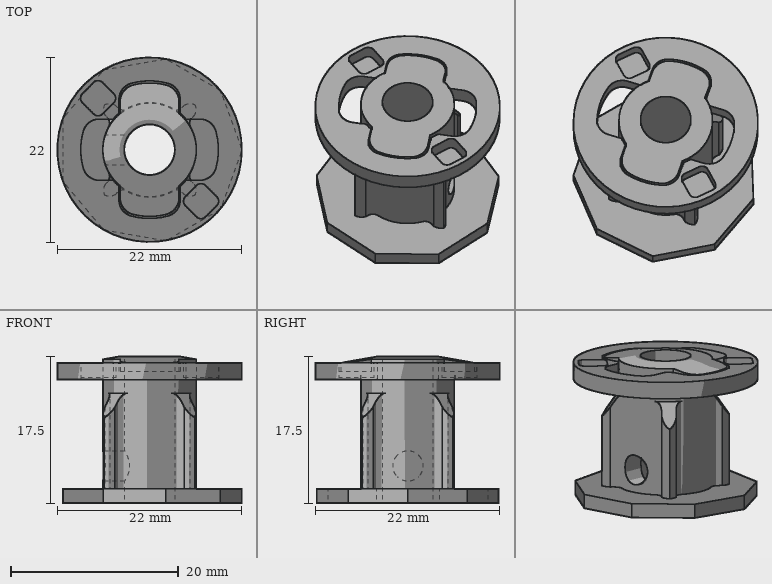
import cadquery as cq
import math

total_height = 17.48
bore_radius = 3.0

base_sides = 9
base_diameter = 22.0
base_thickness = 1.7
column_radius = 5.57
lug_count = 4
lug_first_angle = 45.0
lug_tip_radius = 7.61
lug_half_width = 0.85
lug_flank_end = 6.68
lug_nose_radius = 1.4
lug_root_fillet = 1.0
lug_top = 13.1
lug_top_slope = 55.0
side_hole_diameter = 3.6
side_hole_height = 4.45

crown_radius = 3.57
head_slope = 10.0
lobe_end_radius = 7.95
lobe_half_width = 3.5
lobe_corner_radius = 2.0

washer_diameter = 22.0
washer_thickness = 2.0
washer_bottom = 14.7
washer_top = washer_bottom + washer_thickness
column_clearance = 0.08
slot_end_radius = 8.2
slot_half_width = 3.65
slot_corner_radius = 2.0
lobe_recess_depth = 1.0
lobe_recess_floor = washer_top - lobe_recess_depth
pocket_side = 3.4
pocket_corner_radius = 0.75
pocket_depth = 1.7
pocket_centre_radius = 8.67
pocket_angles = (135.0, 315.0)


def rounded_bar(half_width, end_radius, corner_radius, height):
    """Bar along X with ends concentric to the main axis and rounded corners."""
    disc = cq.Workplane("XY").circle(end_radius).extrude(height)
    strip = cq.Workplane("XY").rect(2 * end_radius, 2 * half_width).extrude(height)
    return disc.intersect(strip).edges("|Z").fillet(corner_radius)


def lug():
    """One radial rib with a two-arc nose, root fillets and a conical top."""
    offset = lug_half_width + lug_root_fillet
    root_end = math.sqrt((column_radius + lug_root_fillet) ** 2 - offset ** 2)
    root_angle = math.atan2(offset, root_end)
    root_x = column_radius * math.cos(root_angle)
    root_y = column_radius * math.sin(root_angle)
    mid_angle = (math.pi + root_angle + 1.5 * math.pi) / 2
    mid_x = root_end + lug_root_fillet * math.cos(mid_angle)
    mid_y = offset + lug_root_fillet * math.sin(mid_angle)
    rib = (
        cq.Workplane("XY")
        .moveTo(0, 0)
        .lineTo(root_x, -root_y)
        .threePointArc((mid_x, -mid_y), (root_end, -lug_half_width))
        .lineTo(lug_flank_end, -lug_half_width)
        .radiusArc((lug_tip_radius, 0), -lug_nose_radius)
        .radiusArc((lug_flank_end, lug_half_width), -lug_nose_radius)
        .lineTo(root_end, lug_half_width)
        .threePointArc((mid_x, mid_y), (root_x, root_y))
        .close()
        .extrude(lug_top)
    )
    cone_drop = (lug_tip_radius - column_radius) * math.tan(math.radians(lug_top_slope))
    cone_envelope = (
        cq.Workplane("XZ")
        .lineTo(lug_tip_radius, 0)
        .lineTo(lug_tip_radius, lug_top - cone_drop)
        .lineTo(column_radius, lug_top)
        .lineTo(0, lug_top)
        .close()
        .revolve(360, (0, 0), (0, 1))
    )
    return rib.intersect(cone_envelope)


def head():
    """Column end and locking lobes under a shallow conical crown."""
    lobes = rounded_bar(
        lobe_half_width, lobe_end_radius, lobe_corner_radius, total_height - lobe_recess_floor
    )
    lobes = lobes.rotate((0, 0, 0), (0, 0, 1), 90).translate((0, 0, lobe_recess_floor))
    column = cq.Workplane("XY").circle(column_radius).extrude(total_height)
    head_drop = (lobe_end_radius - crown_radius) * math.tan(math.radians(head_slope))
    dome = (
        cq.Workplane("XZ")
        .lineTo(lobe_end_radius, 0)
        .lineTo(lobe_end_radius, total_height - head_drop)
        .lineTo(crown_radius, total_height)
        .lineTo(0, total_height)
        .close()
        .revolve(360, (0, 0), (0, 1))
    )
    return column.union(lobes).intersect(dome)


def make_spool():
    base = cq.Workplane("XY").polygon(base_sides, base_diameter).extrude(base_thickness)
    body = base.union(head())
    for index in range(lug_count):
        angle = lug_first_angle + index * 360.0 / lug_count
        body = body.union(lug().rotate((0, 0, 0), (0, 0, 1), angle))
    bore = cq.Workplane("XY").circle(bore_radius).extrude(total_height)
    side_hole = (
        cq.Workplane("YZ")
        .center(0, side_hole_height)
        .circle(side_hole_diameter / 2)
        .extrude(-lug_tip_radius)
    )
    return body.cut(bore).cut(side_hole)


def make_washer():
    disc = cq.Workplane("XY").circle(washer_diameter / 2).extrude(washer_thickness)
    centre_hole = cq.Workplane("XY").circle(column_radius + column_clearance).extrude(washer_thickness)
    slot = rounded_bar(slot_half_width, slot_end_radius, slot_corner_radius, washer_thickness)
    recess = slot.rotate((0, 0, 0), (0, 0, 1), 90)
    recess = recess.translate((0, 0, washer_thickness - lobe_recess_depth))
    body = disc.cut(centre_hole).cut(slot).cut(recess)
    pocket = (
        cq.Workplane("XY")
        .rect(pocket_side, pocket_side)
        .extrude(pocket_depth)
        .edges("|Z")
        .fillet(pocket_corner_radius)
        .translate((pocket_centre_radius, 0, washer_thickness - pocket_depth))
    )
    for angle in pocket_angles:
        body = body.cut(pocket.rotate((0, 0, 0), (0, 0, 1), angle))
    return body.translate((0, 0, washer_bottom))


spool = make_spool()
washer = make_washer()

result = cq.Compound.makeCompound([spool.val(), washer.val()])